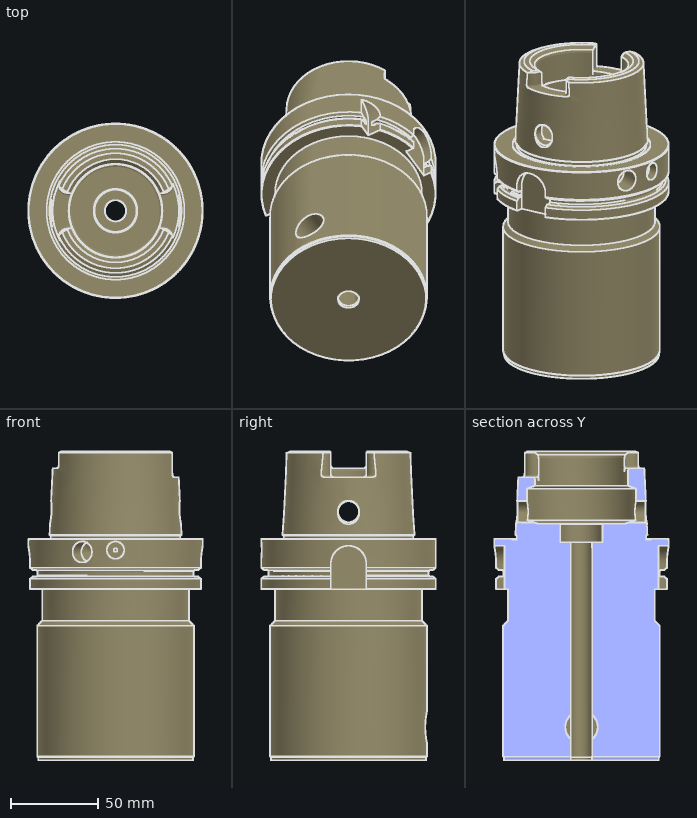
import cadquery as cq
import math

total_height = 176.9
cap_height = 2.0
body_chamfer_bottom = 77.0
body_chamfer_top = 80.0
flange_bottom = 97.8
flange_top = 126.8

body_radius = 45.0
neck_radius = 42.1
flange_diameter = 100.0
flange_radius = flange_diameter / 2
cap_radius = 44.4
body_edge_chamfer = 0.4
flange_edge_chamfer = 0.4

groove_middle = 107.0
groove_half_width = 1.8
groove_mouth_half_width = 3.2
groove_bottom_radius = 45.8
groove_mouth_radius = 48.3
groove_corner_radius = 0.7

taper_bottom = 129.0
taper_bottom_radius = 37.9
taper_top = 175.8
taper_top_radius = 35.5
relief_radius = 37.1
relief_outer_radius = 39.5
relief_depth = 0.5
rim_outer_radius = 32.9
rim_inner_radius = 29.5

lead_in_radius = 26.9
lead_in_bottom = 174.8
bore_radius = 26.5
bore_edge_height = 1.8
undercut_radius = 31.1
undercut_top = 157.0
undercut_cone_height = 1.8
undercut_floor = 135.5
floor_radius = 25.1
floor_cone_height = 2.0
counterbore_radius = 12.0
counterbore_depth = 10.6
counterbore_chamfer = 0.5
coolant_radius = 6.0

rim_slot_half_width = 10.0
rim_slot_corner_radius = 5.5
rim_slot_corner_x = 27.0
rim_slot_floors = {-1: 167.2, 1: 162.0}
rim_slot_floor_fillet = 1.5
rim_slot_top_chamfer = 0.9

flange_slot_radius = 10.0
flange_slot_center_z = 112.7
flange_slot_floor_x = 44.0
notch_radius = 11.9
notch_center_y = 43.0
notch_center_z = 111.3
notch_floor_x = 31.3

shank_hole_radius = 6.0
shank_hole_z = 142.2
shank_hole_chamfer = 0.7
chip_hole_radius = 5.0
chip_hole_depth = 5.7
chip_hole_z = 120.3
pilot_radius = 1.0
pilot_depth = 1.0
flange_hole_radius = 6.0
flange_hole_depth = 13.5
flange_hole_z = 119.2
flange_hole_angle = 22.5
drill_tip_angle = 118.0
body_hole_radius = 9.2
body_hole_z = 19.1

reach = 2 * flange_radius


def revolve_profile(sketch):
    """Turn a closed radius-height outline around the Z axis."""
    return sketch.close().revolve(360, (0, 0, 0), (0, 1, 0))


def turned_outside():
    outline = (
        cq.Workplane("XZ")
        .moveTo(0, cap_height)
        .lineTo(body_radius - body_edge_chamfer, cap_height)
        .lineTo(body_radius, cap_height + body_edge_chamfer)
        .lineTo(body_radius, body_chamfer_bottom)
        .lineTo(neck_radius, body_chamfer_top)
        .lineTo(neck_radius, flange_bottom)
        .lineTo(flange_radius - flange_edge_chamfer, flange_bottom)
        .lineTo(flange_radius, flange_bottom + flange_edge_chamfer)
        .lineTo(flange_radius, flange_top - flange_edge_chamfer)
        .lineTo(flange_radius - flange_edge_chamfer, flange_top)
        .lineTo(relief_outer_radius, flange_top)
        .lineTo(relief_outer_radius, flange_top - relief_depth)
        .lineTo(relief_radius, flange_top - relief_depth)
        .lineTo(relief_radius, taper_bottom - relief_depth)
        .lineTo(taper_bottom_radius, taper_bottom)
        .lineTo(taper_top_radius, taper_top)
        .lineTo(rim_outer_radius, total_height)
        .lineTo(0, total_height)
    )
    return revolve_profile(outline)


def gripper_groove():
    bottom = (
        cq.Workplane("XY", origin=(0, 0, groove_middle - groove_half_width))
        .circle(reach)
        .circle(groove_bottom_radius)
        .extrude(2 * groove_half_width)
        .edges(cq.selectors.RadiusNthSelector(0))
        .fillet(groove_corner_radius)
    )
    mouth_rise = groove_mouth_half_width - groove_half_width
    mouth_run = flange_radius - groove_mouth_radius
    mouth = (
        cq.Workplane("XZ")
        .moveTo(groove_mouth_radius, groove_middle - groove_half_width)
        .lineTo(flange_radius + mouth_run, groove_middle - groove_half_width - 2 * mouth_rise)
        .lineTo(flange_radius + mouth_run, groove_middle + groove_half_width + 2 * mouth_rise)
        .lineTo(groove_mouth_radius, groove_middle + groove_half_width)
    )
    return bottom.union(revolve_profile(mouth))


def axial_bore():
    counterbore_floor = undercut_floor - counterbore_depth
    undercut_cone_bottom = undercut_top - undercut_cone_height
    outline = (
        cq.Workplane("XZ")
        .moveTo(0, 0)
        .lineTo(coolant_radius, 0)
        .lineTo(coolant_radius, counterbore_floor)
        .lineTo(counterbore_radius, counterbore_floor)
        .lineTo(counterbore_radius, undercut_floor - counterbore_chamfer)
        .lineTo(counterbore_radius + counterbore_chamfer, undercut_floor)
        .lineTo(floor_radius, undercut_floor)
        .lineTo(undercut_radius, undercut_floor + floor_cone_height)
        .lineTo(undercut_radius, undercut_cone_bottom)
        .lineTo(bore_radius, undercut_top)
        .lineTo(bore_radius, lead_in_bottom - bore_edge_height)
        .lineTo(lead_in_radius, lead_in_bottom)
        .lineTo(rim_inner_radius, total_height)
        .lineTo(0, total_height)
    )
    return revolve_profile(outline)


def rim_slot_outline(height):
    """Plan of a +X rim slot, widening with round corners towards the outside."""
    corner_x = rim_slot_corner_x
    outer_x = corner_x + rim_slot_corner_radius
    half_width = rim_slot_half_width
    outer_half_width = half_width + rim_slot_corner_radius
    mid_x = corner_x + rim_slot_corner_radius * math.sin(math.pi / 4)
    mid_y = outer_half_width - rim_slot_corner_radius * math.cos(math.pi / 4)
    return (
        cq.Workplane("XY", origin=(0, 0, height))
        .moveTo(0, -half_width)
        .lineTo(corner_x, -half_width)
        .threePointArc((mid_x, -mid_y), (outer_x, -outer_half_width))
        .lineTo(reach, -outer_half_width)
        .lineTo(reach, outer_half_width)
        .lineTo(outer_x, outer_half_width)
        .threePointArc((mid_x, mid_y), (corner_x, half_width))
        .lineTo(0, half_width)
        .close()
    )


def rim_slot(side):
    """Slot through the shank rim, rounded along its floor and chamfered along its top edges."""
    floor = rim_slot_floors[side]
    slot = (
        rim_slot_outline(floor)
        .extrude(total_height - floor)
        .faces("<Z")
        .edges("not(<X or >X)")
        .fillet(rim_slot_floor_fillet)
    )
    chamfer_bottom = total_height - rim_slot_top_chamfer
    top_chamfer = rim_slot_outline(chamfer_bottom).extrude(rim_slot_top_chamfer, taper=-45)
    slot = slot.union(top_chamfer)
    bore_edge = cq.Workplane(
        cq.Solid.makeCone(
            bore_radius, lead_in_radius, bore_edge_height, cq.Vector(0, 0, floor - bore_edge_height)
        )
    )
    lane_size = (reach, 2 * rim_slot_half_width, 2 * total_height)
    lane = cq.Workplane("XY").box(*lane_size, centered=(False, True, True))
    slot = slot.union(bore_edge.intersect(lane))
    return slot if side > 0 else slot.rotate((0, 0, 0), (0, 0, 1), 180)


def round_topped_slot(radius, center_y, center_z, floor_x):
    """Slot cut along X from floor_x outwards, round at the top and open below the flange."""
    plane = cq.Workplane("YZ", origin=(floor_x, center_y, 0))
    return (
        plane.moveTo(-radius, flange_bottom)
        .lineTo(-radius, center_z)
        .threePointArc((0, center_z + radius), (radius, center_z))
        .lineTo(radius, flange_bottom)
        .close()
        .extrude(math.copysign(reach, floor_x))
    )


def shank_cross_hole():
    """Hole along X through both walls of the shank, chamfered on the outside."""
    hole = cq.Workplane("YZ", origin=(0, 0, shank_hole_z)).circle(shank_hole_radius).extrude(reach, both=True)
    rise = (shank_hole_z - taper_bottom) / (taper_top - taper_bottom)
    wall_radius = taper_bottom_radius + rise * (taper_top_radius - taper_bottom_radius)
    for side in (-1, 1):
        hole = hole.union(
            cq.Workplane(
                cq.Solid.makeCone(
                    shank_hole_radius,
                    shank_hole_radius + 2 * shank_hole_chamfer,
                    2 * shank_hole_chamfer,
                    cq.Vector(side * (wall_radius - shank_hole_chamfer), 0, shank_hole_z),
                    cq.Vector(side, 0, 0),
                )
            )
        )
    return hole


def chip_hole():
    """Flat-bottomed round pocket on the -Y side of the flange, with a pilot mark in its floor."""
    floor = cq.Workplane("XZ", origin=(0, chip_hole_depth - flange_radius, chip_hole_z))
    pocket = floor.circle(chip_hole_radius).extrude(reach)
    pilot = floor.circle(pilot_radius).extrude(-pilot_depth)
    return pocket.union(pilot)


def flange_hole():
    """Drilled radial hole with a conical bottom, turned from -Y towards -X."""
    floor_y = flange_hole_depth - flange_radius
    tip_depth = flange_hole_radius / math.tan(math.radians(drill_tip_angle / 2))
    drill = cq.Workplane("XZ", origin=(0, floor_y, flange_hole_z)).circle(flange_hole_radius).extrude(reach)
    tip = cq.Workplane(
        cq.Solid.makeCone(
            flange_hole_radius, 0, tip_depth, cq.Vector(0, floor_y, flange_hole_z), cq.Vector(0, 1, 0)
        )
    )
    return drill.union(tip).rotate((0, 0, 0), (0, 0, 1), -flange_hole_angle)


def body_side_hole():
    """Radial hole from the +Y side to the axis."""
    return cq.Workplane("XZ", origin=(0, 0, body_hole_z)).circle(body_hole_radius).extrude(-reach)


def make_holder():
    holder = turned_outside().cut(gripper_groove()).cut(axial_bore())
    for side in (-1, 1):
        holder = holder.cut(rim_slot(side))
        holder = holder.cut(
            round_topped_slot(flange_slot_radius, 0, flange_slot_center_z, side * flange_slot_floor_x)
        )
    holder = holder.cut(round_topped_slot(notch_radius, notch_center_y, notch_center_z, -notch_floor_x))
    for hole in (shank_cross_hole(), chip_hole(), flange_hole(), body_side_hole()):
        holder = holder.cut(hole)
    return holder


def make_end_cap():
    """Flat ring that closes the lower end of the holder."""
    return cq.Workplane("XY").circle(cap_radius).circle(coolant_radius).extrude(cap_height)


holder = make_holder()
end_cap = make_end_cap()

result = cq.Compound.makeCompound([holder.solids().val(), end_cap.val()])